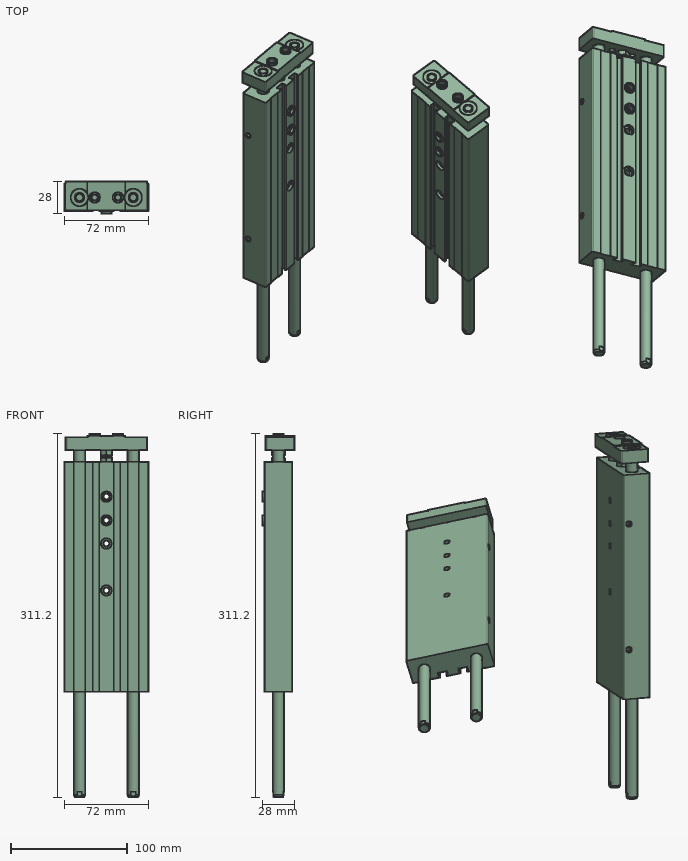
import cadquery as cq
import math


HOUSING_WIDTH = 72.0
HOUSING_DEPTH = 24.0
HOUSING_LENGTH = 197.0
HOUSING_TOP = 287.0
HOUSING_EDGE_RADIUS = 1.0
BAND_WIDTH = 9.5
BAND_DEPTH = 0.3
SLOT_OFFSET = 9.0
SLOT_MOUTH_WIDTH = 5.5
SLOT_INNER_WIDTH = 8.0
SLOT_LIP = 2.0
SLOT_DEPTH = 5.0
MOUNTING_HOLE_DIAMETER = 5.0
SLEEVED_HOLE_DROPS = [30.0, 50.0]
OPEN_HOLE_DROPS = [70.0, 110.0]
PORT_DIAMETER = 5.0
PORT_CORE_DIAMETER = 4.0
PORT_MOUTH_DEPTH = 1.0
PORT_DEPTH = 5.0
PORT_POINT_ANGLE = 118
PORT_Y = 6.8
PORT_DROPS = [43.2, 153.5]

ROD_DIAMETER = 10.0
ROD_SPACING = 46.0
ROD_TIP_CHAMFER_HEIGHT = 2.0
ROD_TIP_CHAMFER_WIDTH = 1.0
ROD_NOTCH_WIDTH = 4.0
ROD_NOTCH_LENGTH = 4.7
ROD_NOTCH_DEPTH = 0.5
ROD_NECK_DIAMETER = 8.0
ROD_NECK_CHAMFER = 1.0

YOKE_WIDTH = 70.0
YOKE_DEPTH = 25.0
YOKE_BACK_OVERHANG = 2.0
YOKE_BOTTOM = 297.0
YOKE_THICKNESS = 11.2
YOKE_EDGE_RADIUS = 1.0
PAD_WIDTH = 32.5
PAD_HEIGHT = 1.0
ROD_RECESS_DIAMETER = 15.0
ROD_RECESS_DEPTH = 0.3
YOKE_HOLE_DIAMETER = 5.0
STUD_DIAMETER = 6.0
NUT_ACROSS_FLATS = 10.0
NUT_DIAMETER = 12.0
UPPER_NUT_HEIGHT = 4.7
LOWER_NUT_HEIGHT = 3.7
NUT_CHAMFER = 1.2

SLEEVE_DIAMETER = 9.0
SLEEVE_BORE = 6.0
SLEEVE_LENGTH = 5.0
SLEEVE_PROJECTION = 2.0
SLEEVE_SPACING = 20.0

SIDES = (-1, 1)
HOUSING_BOTTOM = HOUSING_TOP - HOUSING_LENGTH
HOUSING_FRONT = -HOUSING_DEPTH / 2
HOUSING_BACK = HOUSING_DEPTH / 2
HOUSING_LEFT = -HOUSING_WIDTH / 2
YOKE_FRONT = HOUSING_BACK + YOKE_BACK_OVERHANG - YOKE_DEPTH
YOKE_TOP = YOKE_BOTTOM + YOKE_THICKNESS
PAD_TOP = YOKE_TOP + PAD_HEIGHT
RECESS_FLOOR = YOKE_TOP - ROD_RECESS_DEPTH
SLEEVE_SEAT_DEPTH = SLEEVE_LENGTH - SLEEVE_PROJECTION
ROD_PLACES = [side * ROD_SPACING / 2 for side in SIDES]
YOKE_SLEEVE_PLACES = [side * SLEEVE_SPACING / 2 for side in SIDES]


def upright_cylinder(diameter, x, bottom, top):
    return cq.Workplane("XY", origin=(x, 0, bottom)).circle(diameter / 2).extrude(top - bottom)


def front_cylinder(diameter, z, front, depth):
    """Cylinder on the middle plane that runs from `front` toward +Y."""
    return cq.Workplane("XZ", origin=(0, front, z)).circle(diameter / 2).extrude(-depth)


def block(width, depth, height, x, front, bottom):
    """Block centred on `x`, starting at `front` in Y and `bottom` in Z."""
    box = cq.Workplane("XY").box(width, depth, height, centered=(True, False, False))
    return box.translate((x, front, bottom))


def front_channel(x, width, start_depth, end_depth):
    """Full-length cutter between two depths behind the housing front."""
    depth = end_depth - start_depth
    return block(width, depth, HOUSING_LENGTH, x, HOUSING_FRONT + start_depth, HOUSING_BOTTOM)


def t_slot(x):
    mouth = front_channel(x, SLOT_MOUTH_WIDTH, 0, SLOT_DEPTH)
    return mouth.union(front_channel(x, SLOT_INNER_WIDTH, SLOT_LIP, SLOT_DEPTH))


def mounting_hole(z):
    through = front_cylinder(MOUNTING_HOLE_DIAMETER, z, HOUSING_FRONT, HOUSING_DEPTH)
    return through.union(front_cylinder(SLEEVE_DIAMETER, z, HOUSING_FRONT, SLEEVE_SEAT_DEPTH))


def side_port(z):
    """Blind stepped port in the -X side with a drill point at its end."""
    mouth_radius = PORT_DIAMETER / 2
    core_radius = PORT_CORE_DIAMETER / 2
    point_length = core_radius / math.tan(math.radians(PORT_POINT_ANGLE / 2))
    profile = [
        (0, 0),
        (0, mouth_radius),
        (PORT_MOUTH_DEPTH, mouth_radius),
        (PORT_MOUTH_DEPTH, core_radius),
        (PORT_DEPTH, core_radius),
        (PORT_DEPTH + point_length, 0),
    ]
    port = cq.Workplane("XY").polyline(profile).close().revolve(360, (0, 0, 0), (1, 0, 0))
    return port.translate((HOUSING_LEFT, PORT_Y, z))


def make_housing():
    housing = block(HOUSING_WIDTH, HOUSING_DEPTH, HOUSING_LENGTH, 0, HOUSING_FRONT, HOUSING_BOTTOM)
    housing = housing.edges("|Z").fillet(HOUSING_EDGE_RADIUS)
    for x in ROD_PLACES:
        housing = housing.cut(upright_cylinder(ROD_DIAMETER, x, HOUSING_BOTTOM, HOUSING_TOP))
        housing = housing.cut(front_channel(x, BAND_WIDTH, 0, BAND_DEPTH))
    for side in SIDES:
        housing = housing.cut(t_slot(side * SLOT_OFFSET))
    for drop in SLEEVED_HOLE_DROPS + OPEN_HOLE_DROPS:
        housing = housing.cut(mounting_hole(HOUSING_TOP - drop))
    for drop in PORT_DROPS:
        housing = housing.cut(side_port(HOUSING_TOP - drop))
    return housing


def make_rod(x):
    """Rod with a tapered lower tip, notched front and back, and a neck that fills the yoke hole."""
    rod = upright_cylinder(ROD_DIAMETER, x, 0, YOKE_BOTTOM)
    rod = rod.faces("<Z").edges().chamfer(ROD_TIP_CHAMFER_HEIGHT, ROD_TIP_CHAMFER_WIDTH)
    neck = upright_cylinder(ROD_NECK_DIAMETER, x, YOKE_BOTTOM, RECESS_FLOOR)
    rod = rod.union(neck.faces(">Z").chamfer(ROD_NECK_CHAMFER))
    notch_floor = ROD_DIAMETER / 2 - ROD_NOTCH_DEPTH
    back_notch = block(ROD_NOTCH_WIDTH, ROD_NOTCH_DEPTH, ROD_NOTCH_LENGTH, x, notch_floor, 0)
    return rod.cut(back_notch).cut(back_notch.mirror("XZ"))


def hex_nut(height):
    """Nut standing on Z = 0 with its upper corners chamfered and a corner to the front."""
    corner_diameter = NUT_ACROSS_FLATS / math.cos(math.pi / 6)
    nut = cq.Workplane("XY").polygon(6, corner_diameter).extrude(height)
    nut = nut.rotate((0, 0, 0), (0, 0, 1), 30)
    envelope = upright_cylinder(NUT_DIAMETER, 0, 0, height).faces(">Z").chamfer(NUT_CHAMFER)
    return nut.intersect(envelope)


def drive_stud():
    """Stud between housing and yoke with a nut at each end."""
    stud = upright_cylinder(STUD_DIAMETER, 0, HOUSING_TOP, YOKE_BOTTOM)
    lower_nut = hex_nut(LOWER_NUT_HEIGHT).translate((0, 0, HOUSING_TOP))
    upper_nut = hex_nut(UPPER_NUT_HEIGHT).mirror("XY").translate((0, 0, YOKE_BOTTOM))
    return stud.union(lower_nut).union(upper_nut)


def make_yoke():
    yoke = block(YOKE_WIDTH, YOKE_DEPTH, YOKE_THICKNESS, 0, YOKE_FRONT, YOKE_BOTTOM)
    yoke = yoke.edges("|Z").fillet(YOKE_EDGE_RADIUS)
    yoke = yoke.union(block(PAD_WIDTH, YOKE_DEPTH, PAD_HEIGHT, 0, YOKE_FRONT, YOKE_TOP))
    for x in ROD_PLACES:
        yoke = yoke.cut(upright_cylinder(ROD_NECK_DIAMETER, x, YOKE_BOTTOM, YOKE_TOP))
        yoke = yoke.cut(upright_cylinder(ROD_RECESS_DIAMETER, x, RECESS_FLOOR, PAD_TOP))
    for x in YOKE_SLEEVE_PLACES:
        yoke = yoke.cut(upright_cylinder(YOKE_HOLE_DIAMETER, x, YOKE_BOTTOM, PAD_TOP))
        yoke = yoke.cut(upright_cylinder(SLEEVE_DIAMETER, x, PAD_TOP - SLEEVE_SEAT_DEPTH, PAD_TOP))
    return yoke.union(drive_stud())


def make_yoke_sleeve(x):
    bottom = PAD_TOP - SLEEVE_SEAT_DEPTH
    top = bottom + SLEEVE_LENGTH
    sleeve = upright_cylinder(SLEEVE_DIAMETER, x, bottom, top)
    return sleeve.cut(upright_cylinder(SLEEVE_BORE, x, bottom, top))


def make_front_sleeve(z):
    front = HOUSING_FRONT - SLEEVE_PROJECTION
    sleeve = front_cylinder(SLEEVE_DIAMETER, z, front, SLEEVE_LENGTH)
    return sleeve.cut(front_cylinder(SLEEVE_BORE, z, front, SLEEVE_LENGTH))


housing = make_housing()
yoke = make_yoke()
rods = [make_rod(x) for x in ROD_PLACES]
yoke_sleeves = [make_yoke_sleeve(x) for x in YOKE_SLEEVE_PLACES]
front_sleeves = [make_front_sleeve(HOUSING_TOP - drop) for drop in SLEEVED_HOLE_DROPS]

bodies = [housing, yoke, *rods, *yoke_sleeves, *front_sleeves]
result = cq.Compound.makeCompound([body.val() for body in bodies])